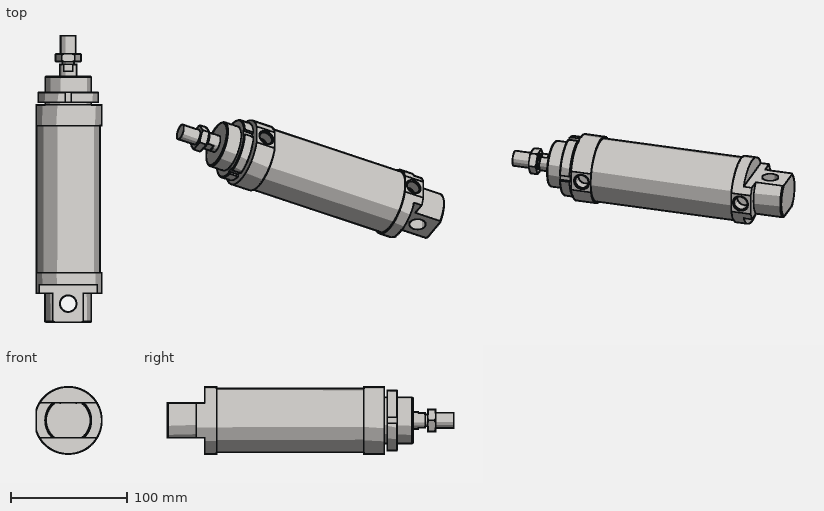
import cadquery as cq
import math


rod_tip = 247.0
rod_nut_front = 231.2
rod_nut_length = 6.7
rod_shoulder = 222.3
wrench_flat_length = 6.0
boss_front = 212.0
ring_nut_front = 198.3
ring_nut_length = 9.0
front_cap_front = 187.2
cap_length = 17.8
rear_cap_back = 25.0
clevis_flat_start = 32.4
clevis_hole_station = 16.0

cap_diameter = 58.0
tube_diameter = 55.0
boss_diameter = 40.0
boss_chamfer = 1.0
port_flat_offset = 27.7
port_inset = 8.5
port_diameter = 11.9
port_mouth_diameter = 13.8
port_depth = 10.0
clevis_thickness = 30.1
clevis_hole_diameter = 14.0

rod_diameter = 14.8
thread_diameter = 13.3
neck_diameter = 10.4
wrench_flat_width = 12.8

rod_nut_width = 19.3
rod_nut_chamfer = 0.7
ring_nut_diameter = 52.0
ring_nut_chamfer = 0.7
ring_slot_width = 5.2
ring_slot_depth = 2.5
ring_slot_count = 4

rod_nut_back = rod_nut_front - rod_nut_length
ring_nut_back = ring_nut_front - ring_nut_length
front_cap_back = front_cap_front - cap_length
rear_cap_front = rear_cap_back + cap_length
rod_inner_end = front_cap_back


def cylinder(diameter, start, end):
    """Solid cylinder on the Y axis between two stations."""
    plane = cq.Plane(origin=(0, start, 0), xDir=(1, 0, 0), normal=(0, 1, 0))
    return cq.Workplane(plane).circle(diameter / 2).extrude(end - start)


def slab_cutters(thickness, start, end):
    """Two blocks that leave a slab of the given Z thickness between two stations."""
    length = end - start
    block = cq.Workplane("XY").box(cap_diameter, length, cap_diameter)
    rise = (thickness + cap_diameter) / 2
    middle = (start + end) / 2
    return block.translate((0, middle, rise)).union(block.translate((0, middle, -rise)))


def port_cutter(station):
    """Countersunk blind port that opens on the -X flat."""
    mouth_depth = (port_mouth_diameter - port_diameter) / 2
    profile = [
        (0, 0),
        (port_mouth_diameter / 2, 0),
        (port_diameter / 2, mouth_depth),
        (port_diameter / 2, port_depth),
        (0, port_depth),
    ]
    plane = cq.Plane(origin=(-port_flat_offset, station, 0), xDir=(0, 1, 0), normal=(0, 0, 1))
    points = [(radius, -depth) for radius, depth in profile]
    return cq.Workplane(plane).polyline(points).close().revolve(360, (0, 0, 0), (0, 1, 0))


def port_flat_cutter(start, end):
    """Block that planes the -X side of a cap."""
    length = end - start
    block = cq.Workplane("XY").box(cap_diameter, length, cap_diameter)
    return block.translate((-port_flat_offset - cap_diameter / 2, (start + end) / 2, 0))


def make_housing():
    boss = cylinder(boss_diameter, 0, boss_front)
    boss = boss.faces("<Y or >Y").chamfer(boss_chamfer)
    tube = cylinder(tube_diameter, rear_cap_front, front_cap_back)
    body = boss.union(tube)

    for start in (rear_cap_back, front_cap_back):
        cap = cylinder(cap_diameter, start, start + cap_length)
        body = body.union(cap.cut(port_flat_cutter(start, start + cap_length)))
    for station in (rear_cap_front - port_inset, front_cap_back + port_inset):
        body = body.cut(port_cutter(station))

    body = body.cut(slab_cutters(clevis_thickness, 0, clevis_flat_start))
    clevis_hole = cq.Workplane("XY").center(0, clevis_hole_station)
    clevis_hole = clevis_hole.circle(clevis_hole_diameter / 2).extrude(clevis_thickness, both=True)
    rod_bore = cylinder(rod_diameter, rod_inner_end, boss_front)
    return body.cut(clevis_hole).cut(rod_bore)


def make_piston_rod():
    shank = cylinder(rod_diameter, rod_inner_end, rod_shoulder)
    shank = shank.cut(slab_cutters(wrench_flat_width, rod_shoulder - wrench_flat_length, rod_shoulder))
    neck = cylinder(neck_diameter, rod_shoulder, rod_nut_back)
    thread = cylinder(thread_diameter, rod_nut_back, rod_tip)
    return shank.union(neck).union(thread)


def make_rod_nut():
    corner_diameter = rod_nut_width / math.cos(math.pi / 6)
    plane = cq.Plane(origin=(0, rod_nut_back, 0), xDir=(1, 0, 0), normal=(0, 1, 0))
    hexagon = cq.Workplane(plane).polygon(6, corner_diameter).extrude(rod_nut_length)
    envelope = cylinder(corner_diameter, rod_nut_back, rod_nut_front)
    envelope = envelope.faces("<Y or >Y").chamfer(rod_nut_chamfer)
    bore = cylinder(thread_diameter, rod_nut_back, rod_nut_front)
    return hexagon.intersect(envelope).cut(bore)


def make_ring_nut():
    ring = cylinder(ring_nut_diameter, ring_nut_back, ring_nut_front)
    ring = ring.faces(">Y").chamfer(ring_nut_chamfer)
    ring = ring.cut(cylinder(boss_diameter, ring_nut_back, ring_nut_front))
    slot = cq.Workplane("XY").box(ring_slot_width, ring_nut_length, 2 * ring_slot_depth)
    slot = slot.translate((0, (ring_nut_back + ring_nut_front) / 2, ring_nut_diameter / 2))
    for index in range(ring_slot_count):
        angle = index * 360 / ring_slot_count
        ring = ring.cut(slot.rotate((0, 0, 0), (0, 1, 0), angle))
    return ring


housing = make_housing()
piston_rod = make_piston_rod()
rod_nut = make_rod_nut()
ring_nut = make_ring_nut()

result = cq.Compound.makeCompound([
    housing.val(),
    piston_rod.val(),
    rod_nut.val(),
    ring_nut.val(),
])